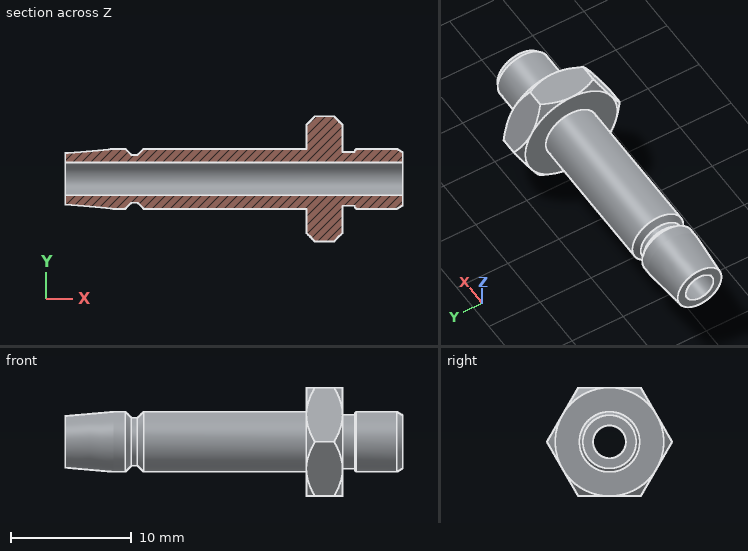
import cadquery as cq
import math

total_length = 28.0
taper_end = 4.0
groove_start = 5.0
groove_width = 1.5
hex_start = 20.0
hex_width = 3.0
relief_width = 1.0

body_diameter = 5.0
groove_diameter = 4.0
relief_diameter = 4.5
bore_diameter = 2.7
taper_angle = 5.0
shoulder_chamfer = 0.15
end_chamfer_length = 0.5
end_chamfer_angle = 30.0

across_flats = 9.0
across_corners = across_flats / math.cos(math.pi / 6)

body_radius = body_diameter / 2
groove_radius = groove_diameter / 2
relief_radius = relief_diameter / 2
tip_radius = body_radius - taper_end * math.tan(math.radians(taper_angle))
end_chamfer_depth = end_chamfer_length * math.tan(math.radians(end_chamfer_angle))
groove_flank = body_radius - groove_radius
groove_end = groove_start + groove_width
hex_end = hex_start + hex_width
relief_end = hex_end + relief_width
x_min = -total_length / 2


def make_stem():
    """Turned stem: tapered tip, V-sided groove, long shank, relief and end spigot."""
    profile = (
        cq.Workplane("XZ", origin=(x_min, 0, 0))
        .moveTo(0, 0)
        .lineTo(0, tip_radius)
        .lineTo(taper_end, body_radius)
        .lineTo(groove_start, body_radius)
        .lineTo(groove_start + groove_flank, groove_radius)
        .lineTo(groove_end - groove_flank, groove_radius)
        .lineTo(groove_end, body_radius)
        .lineTo(hex_end, body_radius)
        .lineTo(hex_end, relief_radius)
        .lineTo(relief_end, relief_radius)
        .lineTo(relief_end, body_radius - shoulder_chamfer)
        .lineTo(relief_end + shoulder_chamfer, body_radius)
        .lineTo(total_length - end_chamfer_length, body_radius)
        .lineTo(total_length, body_radius - end_chamfer_depth)
        .lineTo(total_length, 0)
        .close()
    )
    return profile.revolve(360, (0, 0, 0), (1, 0, 0))


def make_hexagon():
    """Hexagon with corners on +/-Y, both faces bevelled at 45 degrees from the flats' circle."""
    prism = (
        cq.Workplane("YZ", origin=(x_min + hex_start, 0, 0))
        .polygon(6, across_corners)
        .extrude(hex_width)
    )
    bevel = (across_corners - across_flats) / 2
    envelope = (
        cq.Workplane("YZ", origin=(x_min + hex_start, 0, 0))
        .circle(across_corners / 2)
        .extrude(hex_width)
        .edges()
        .chamfer(bevel)
    )
    return prism.intersect(envelope)


def make_bore():
    """Straight bore through the full length."""
    return (
        cq.Workplane("YZ", origin=(x_min, 0, 0))
        .circle(bore_diameter / 2)
        .extrude(total_length)
    )


result = make_stem().union(make_hexagon()).cut(make_bore())